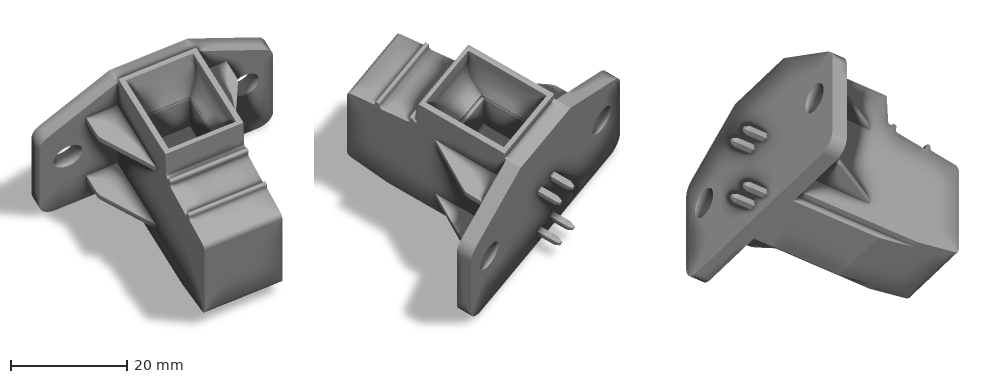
import cadquery as cq
import math

flange_width = 45.0
flange_thickness = 3.0
flange_height = 29.5
flange_slope = math.radians(30)
flange_corner_radius = 3.0
mount_hole_diameter = 5.6
mount_hole_offset = 17.0
mount_hole_height = 14.05

body_width = 15.05
body_end = 36.3
tower_front = 3.38
tower_back = 21.38
tower_foot = 21.7
tower_foot_height = 25.1
body_height = 31.0
rim_relief = 0.35
bottom_flat_end = 20.7
body_slope = math.radians(10)
body_corner_radius = 1.0
keel_height = 1.25
keel_inset = 1.5

bead_radius = 0.428
hook_x = 23.0
hook_z = 25.0
hook_base_x = 23.62
hook_base_z = 23.75
hook_neck_x = 23.3
hook_neck_top_z = 24.5
hook_neck_low_z = 24.0
hook_valley_width = 0.65
hook_valley_depth = 0.22
rib_x = 30.0
rib_z = 23.75
rib_front_fillet = 0.68
rib_back_fillet = 0.4
rear_slope_start_z = 23.0

gusset_reach = 13.5
gusset_length = 17.85
gusset_thickness = 1.2
gusset_angle = math.radians(30)
gusset_round = 3.0
gusset_levels = (5.18, 21.8)

pin_size = 1.15
pin_tip_size = 0.6
pin_length = 4.5
pin_taper = 1.0
pin_offset = 1.9
pin_levels = (3.05, 15.55)

mouth_front = 4.25
mouth_back = 20.6
mouth_width = 12.95
throat_front = 7.15
throat_back = 16.5
throat_width = 8.9
throat_z = 23.3
side_wall_straight = 1.8
side_arc_end_y = 5.1
side_arc_end_z = 24.45
back_arc_radius = 3.6
back_arc_end_x = 18.75
front_bow_x = 5.5
front_bow_z = 27.1

ledge_depth = 0.5
socket_back = 15.85
socket_clearance = 0.1
socket_floor = 14.85
socket_floor_fillet = 0.65


def make_flange():
    half = flange_width / 2
    top_half = body_width / 2
    shoulder = flange_height - (half - top_half) * math.tan(flange_slope)
    plate = (
        cq.Workplane("YZ")
        .moveTo(-half, 0)
        .lineTo(half, 0)
        .lineTo(half, shoulder)
        .lineTo(top_half, flange_height)
        .lineTo(-top_half, flange_height)
        .lineTo(-half, shoulder)
        .close()
        .extrude(flange_thickness)
    )
    plate = plate.edges("|X").edges("<Y or >Y").fillet(flange_corner_radius)
    holes = (
        cq.Workplane("YZ")
        .pushPoints([(-mount_hole_offset, mount_hole_height), (mount_hole_offset, mount_hole_height)])
        .circle(mount_hole_diameter / 2)
        .extrude(flange_thickness)
    )
    return plate.cut(holes)


def make_body():
    """Housing profile in XZ, extruded symmetrically across Y."""
    slope = math.tan(body_slope)
    diagonal = bead_radius * math.sqrt(0.5)
    rib_front = rib_x - bead_radius
    rib_back = rib_x + bead_radius

    valley_x = tower_foot + hook_valley_width
    valley_z = hook_z + diagonal - (hook_x - diagonal - valley_x)
    valley_mid = (tower_foot + hook_valley_width / 2, tower_foot_height - hook_valley_depth)

    front_fillet_x = rib_front - rib_front_fillet
    front_slope_z = hook_base_z - (front_fillet_x - hook_base_x) * slope
    front_mid = rib_front_fillet * math.sqrt(0.5)
    back_fillet_x = rib_back + rib_back_fillet
    back_mid = rib_back_fillet * (1 - math.sqrt(0.5))

    profile = (
        cq.Workplane("XZ")
        .moveTo(0, 0)
        .lineTo(bottom_flat_end, 0)
        .lineTo(body_end, (body_end - bottom_flat_end) * slope)
        .lineTo(body_end, rear_slope_start_z - (body_end - back_fillet_x) * slope)
        .lineTo(back_fillet_x, rear_slope_start_z)
        .threePointArc(
            (rib_back + back_mid, rear_slope_start_z + back_mid),
            (rib_back, rear_slope_start_z + rib_back_fillet),
        )
        .lineTo(rib_back, rib_z)
        .threePointArc((rib_x, rib_z + bead_radius), (rib_front, rib_z))
        .lineTo(rib_front, front_slope_z + rib_front_fillet)
        .threePointArc(
            (front_fillet_x + front_mid, front_slope_z + rib_front_fillet - front_mid),
            (front_fillet_x, front_slope_z),
        )
        .lineTo(hook_base_x, hook_base_z)
        .threePointArc((hook_neck_x, hook_neck_low_z), (hook_neck_x, hook_neck_top_z))
        .lineTo(hook_x + diagonal, hook_z - diagonal)
        .threePointArc(
            (hook_x + diagonal, hook_z + diagonal),
            (hook_x - diagonal, hook_z + diagonal),
        )
        .lineTo(valley_x, valley_z)
        .threePointArc(valley_mid, (tower_foot, tower_foot_height))
        .lineTo(tower_back, body_height - rim_relief * slope)
        .lineTo(tower_back - rim_relief, body_height)
        .lineTo(tower_front, body_height)
        .lineTo(tower_front, flange_height)
        .lineTo(0, flange_height)
        .close()
    )
    body = profile.extrude(body_width / 2, both=True)
    body = body.edges("|Y").edges(">X").fillet(body_corner_radius)

    step_center = (body_width - keel_inset) / 2
    steps = (
        cq.Workplane("XY")
        .pushPoints([(body_end / 2, -step_center), (body_end / 2, step_center)])
        .rect(body_end, keel_inset)
        .extrude(keel_height)
    )
    return body.cut(steps)


def make_gusset(level):
    straight_end = gusset_length - (gusset_reach - body_width / 2) / math.tan(gusset_angle)
    plate = (
        cq.Workplane("XY")
        .workplane(offset=level)
        .moveTo(0, -gusset_reach)
        .lineTo(straight_end, -gusset_reach)
        .lineTo(gusset_length, -body_width / 2)
        .lineTo(gusset_length, body_width / 2)
        .lineTo(straight_end, gusset_reach)
        .lineTo(0, gusset_reach)
        .close()
        .extrude(gusset_thickness)
    )
    corners = plate.faces("<Y or >Y").edges("|Z").edges(">X")
    return corners.fillet(gusset_round)


def make_pin(y, z):
    shank_length = pin_length - pin_taper
    shank = (
        cq.Workplane("YZ", origin=(0, y, z))
        .rect(pin_size, pin_size)
        .extrude(-shank_length)
    )
    tip = (
        cq.Workplane("YZ", origin=(-shank_length, y, z))
        .rect(pin_size, pin_size)
        .workplane(offset=-pin_taper)
        .rect(pin_tip_size, pin_tip_size)
        .loft()
    )
    return shank.union(tip)


def make_funnel():
    """Curved funnel: intersection of a lengthwise and a crosswise profile."""
    turn = math.acos(1 - (mouth_back - back_arc_end_x) / back_arc_radius)
    back_arc_end_z = throat_z + (back_arc_end_x - throat_back) / math.tan(turn)
    back_arc_top_z = back_arc_end_z + back_arc_radius * math.sin(turn)
    back_mid = (
        mouth_back - back_arc_radius * (1 - math.cos(turn / 2)),
        back_arc_top_z - back_arc_radius * math.sin(turn / 2),
    )
    lengthwise = (
        cq.Workplane("XZ")
        .moveTo(throat_front, throat_z)
        .lineTo(throat_back, throat_z)
        .lineTo(back_arc_end_x, back_arc_end_z)
        .threePointArc(back_mid, (mouth_back, back_arc_top_z))
        .lineTo(mouth_back, body_height)
        .lineTo(mouth_front, body_height)
        .threePointArc((front_bow_x, front_bow_z), (throat_front, throat_z))
        .close()
        .extrude(mouth_width / 2, both=True)
    )

    mouth_y = mouth_width / 2
    throat_y = throat_width / 2
    arc_top_z = body_height - side_wall_straight
    drop = arc_top_z - side_arc_end_z
    side_turn = 2 * math.atan((mouth_y - side_arc_end_y) / drop)
    side_radius = drop / math.sin(side_turn)
    side_mid_y = mouth_y - side_radius * (1 - math.cos(side_turn / 2))
    side_mid_z = arc_top_z - side_radius * math.sin(side_turn / 2)
    crosswise = (
        cq.Workplane("YZ")
        .moveTo(-throat_y, throat_z)
        .lineTo(throat_y, throat_z)
        .lineTo(side_arc_end_y, side_arc_end_z)
        .threePointArc((side_mid_y, side_mid_z), (mouth_y, arc_top_z))
        .lineTo(mouth_y, body_height)
        .lineTo(-mouth_y, body_height)
        .lineTo(-mouth_y, arc_top_z)
        .threePointArc((-side_mid_y, side_mid_z), (-side_arc_end_y, side_arc_end_z))
        .close()
        .extrude(body_end)
    )
    return lengthwise.intersect(crosswise)


def make_socket():
    ledge_z = throat_z - ledge_depth
    throat = cq.Workplane("XY").box(
        throat_back - throat_front, throat_width, ledge_depth, centered=(False, True, False)
    ).translate((throat_front, 0, ledge_z))
    socket_front = throat_front + socket_clearance
    pocket = cq.Workplane("XY").box(
        socket_back - socket_front,
        throat_width - 2 * socket_clearance,
        ledge_z - socket_floor,
        centered=(False, True, False),
    ).translate((socket_front, 0, socket_floor))
    pocket = pocket.faces("<Z").edges(">X").fillet(socket_floor_fillet)
    return throat.union(pocket)


result = make_flange().union(make_body())
for gusset_level in gusset_levels:
    result = result.union(make_gusset(gusset_level))
for pin_level in pin_levels:
    for pin_y in (-pin_offset, pin_offset):
        result = result.union(make_pin(pin_y, pin_level))
result = result.cut(make_funnel()).cut(make_socket())